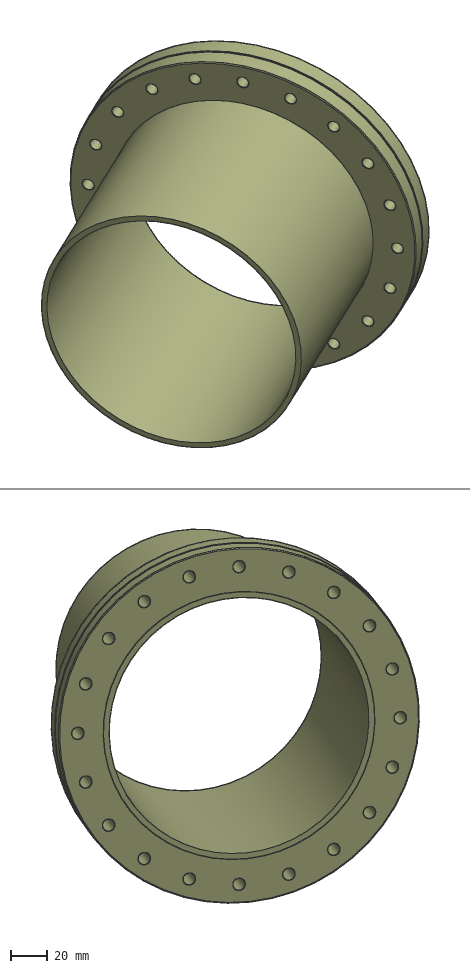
import cadquery as cq

flange_diameter = 203.0
flange_thickness = 22.3
flange_edge_chamfer = 0.6
groove_width = 1.0
groove_depth = 0.2
bolt_circle_diameter = 181.3
bolt_hole_diameter = 6.7
bolt_hole_chamfer = 0.2
bolt_hole_count = 20
tube_outer_diameter = 152.5
tube_inner_diameter = 146.0
tube_clearance = 0.2
overall_length = 139.7

flange_bore = tube_outer_diameter + 2 * tube_clearance

flange_start = overall_length - flange_thickness
groove_start = flange_start + (flange_thickness - groove_width) / 2


def cylinder(diameter, start, length):
    """Cylinder along +Y whose near end lies at y = start."""
    axis_start = cq.Vector(0, start, 0)
    return cq.Workplane(cq.Solid.makeCylinder(diameter / 2, length, axis_start, cq.Vector(0, 1, 0)))


def ring(outer_diameter, inner_diameter, start, length):
    """Hollow cylinder along +Y whose near end lies at y = start."""
    return cylinder(outer_diameter, start, length).cut(cylinder(inner_diameter, start, length))


def bolt_hole_cutter():
    """Through hole on the +X side, widened by a small chamfer at each flange face."""
    hole_radius = bolt_hole_diameter / 2
    mouth_radius = hole_radius + bolt_hole_chamfer
    flange_end = flange_start + flange_thickness
    half_profile = [
        (0, flange_start),
        (mouth_radius, flange_start),
        (hole_radius, flange_start + bolt_hole_chamfer),
        (hole_radius, flange_end - bolt_hole_chamfer),
        (mouth_radius, flange_end),
        (0, flange_end),
    ]
    cutter = cq.Workplane("XY").polyline(half_profile).close().revolve(360, (0, 0), (0, 1))
    return cutter.translate((bolt_circle_diameter / 2, 0, 0))


def make_flange():
    """Loose ring around the tube, with chamfered rims, a groove around its middle and bolt holes."""
    disc = cylinder(flange_diameter, flange_start, flange_thickness)
    disc = disc.edges().chamfer(flange_edge_chamfer)
    flange = disc.cut(cylinder(flange_bore, flange_start, flange_thickness))

    groove_floor_diameter = flange_diameter - 2 * groove_depth
    flange = flange.cut(ring(flange_diameter, groove_floor_diameter, groove_start, groove_width))

    bolt_hole = bolt_hole_cutter()
    for i in range(bolt_hole_count):
        angle = i * 360 / bolt_hole_count
        flange = flange.cut(bolt_hole.rotate((0, 0, 0), (0, 1, 0), angle))
    return flange


def make_tube():
    """Plain pipe that runs through the flange to its far face."""
    return ring(tube_outer_diameter, tube_inner_diameter, 0, overall_length)


flange = make_flange()
tube = make_tube()

result = cq.Compound.makeCompound([flange.val(), tube.val()])